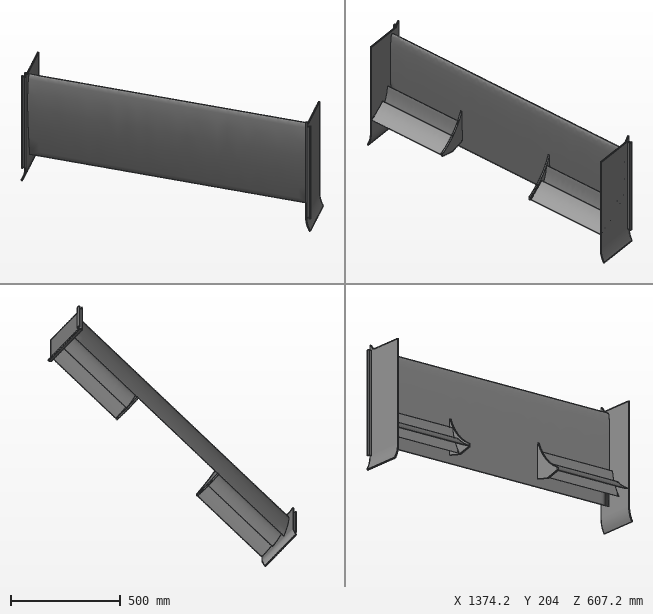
import math

import cadquery as cq


span = 1374.18
depth = 204.0
height = 607.21
back = depth / 2
front = -depth / 2
top = height / 2
bottom = -height / 2
tip_x = span / 2

plate_thickness = 6.0
plate_top = 279.0
plate_foot = -233.5
foot_sweep = math.radians(29)
foot_inner_radius = (plate_foot - bottom) / math.sin(foot_sweep)
foot_outer_radius = foot_inner_radius - plate_thickness
foot_outset = foot_outer_radius * (1 - math.cos(foot_sweep))
plate_outer_x = tip_x - foot_outset
plate_inner_x = plate_outer_x - plate_thickness
horn_top_width = 5.0
horn_base_width = 22.0
horn_root_radius = 10.0

lip_root_thickness = 11.0
lip_depth = 14.0
lip_top = 277.0
fin_thickness = 4.0
fin_end_inset = 2.0
groove_depth = 10.5
groove_hollow = 0.6

main_section = dict(leading=(-51, 264), trailing=(-43, -192), thickness=0.082, camber=0.019)
lower_flap_section = dict(leading=(-20, -25), trailing=(31, -164), thickness=0.105, camber=0.09)
rear_flap_section = dict(leading=(18.5, -89), trailing=(back, -146), thickness=0.10, camber=0.08)
camber_position = 0.4
points_per_side = 14

rib_thickness = 8.0
rib_inner_x = 250.0
rib_back_top = (back, -136)
rib_top_middle = (14, -66)
rib_front_top = (-45, 40)
rib_front_bottom = (-45, -150)
rib_low_point = (31, -168)
rib_back_bottom = (back, -150)


def half_thickness(s, thickness):
    """Half thickness of a four-digit NACA section with a closed trailing edge, at chord fraction s."""
    shape = 0.2969 * math.sqrt(s) - 0.1260 * s - 0.3516 * s**2 + 0.2843 * s**3 - 0.1036 * s**4
    return 5 * thickness * shape


def camber_height(s, camber):
    """Height of the four-digit NACA camber line at chord fraction s."""
    p = camber_position
    if s < p:
        return camber * (2 * p * s - s**2) / p**2
    return camber * (1 - 2 * p + 2 * p * s - s**2) / (1 - p) ** 2


def wing(leading, trailing, thickness, camber, x_start, x_end):
    """Straight wing of constant section between two X positions, cambered towards the front."""
    chord_y = trailing[0] - leading[0]
    chord_z = trailing[1] - leading[1]

    def section_point(s, side):
        lift = camber_height(s, camber) + side * half_thickness(s, thickness)
        return (leading[0] + s * chord_y + lift * chord_z, leading[1] + s * chord_z - lift * chord_y)

    steps = [i / points_per_side for i in range(1, points_per_side)]
    fractions = [(1 - math.cos(math.pi * t)) / 2 for t in steps]
    front_side = [section_point(s, 1) for s in reversed(fractions)]
    back_side = [section_point(s, -1) for s in fractions]
    outline = [trailing, *front_side, leading, *back_side, trailing]
    return (
        cq.Workplane("YZ", origin=(x_start, 0, 0))
        .spline(outline, includeCurrent=False)
        .close()
        .extrude(x_end - x_start)
    )


def end_plate_panel():
    """Flat plate with a pointed horn standing on its front top corner."""
    panel = (
        cq.Workplane("YZ", origin=(plate_inner_x, 0, 0))
        .moveTo(back, plate_foot)
        .lineTo(back, plate_top)
        .lineTo(front + horn_base_width, plate_top)
        .lineTo(front + horn_top_width, top)
        .lineTo(front, top)
        .lineTo(front, plate_foot)
        .close()
        .extrude(plate_thickness)
    )
    horn_root = cq.selectors.NearestToPointSelector((plate_inner_x, front + horn_base_width, plate_top))
    return panel.edges("|X").edges(horn_root).fillet(horn_root_radius)


def end_plate_foot():
    """Foot that leaves the plate straight down and curves outwards along one arc."""
    centre_x = plate_outer_x + foot_outer_radius

    def arc_point(radius, angle):
        return (centre_x - radius * math.cos(angle), plate_foot - radius * math.sin(angle))

    middle = foot_sweep / 2
    return (
        cq.Workplane("XZ", origin=(0, back, 0))
        .moveTo(*arc_point(foot_outer_radius, 0))
        .threePointArc(arc_point(foot_outer_radius, middle), arc_point(foot_outer_radius, foot_sweep))
        .lineTo(*arc_point(foot_inner_radius, foot_sweep))
        .threePointArc(arc_point(foot_inner_radius, middle), arc_point(foot_inner_radius, 0))
        .close()
        .extrude(depth)
    )


def end_plate_lip():
    """Lip along the front edge of the plate: bulged outer fin, groove and slanted groove flank."""
    fin_end_x = tip_x - fin_end_inset
    fin_inner_x = fin_end_x - fin_thickness
    groove_bottom = front + groove_depth
    flank_x = fin_inner_x - plate_outer_x
    flank_length = math.hypot(flank_x, groove_depth)
    flank_middle = (
        plate_outer_x + flank_x / 2 - groove_hollow * groove_depth / flank_length,
        front + groove_depth / 2 + groove_hollow * flank_x / flank_length,
    )
    return (
        cq.Workplane("XY", origin=(0, 0, plate_foot))
        .moveTo(plate_outer_x, front)
        .threePointArc(flank_middle, (fin_inner_x, groove_bottom))
        .lineTo(fin_inner_x, front)
        .lineTo(fin_end_x, front)
        .threePointArc((tip_x, front + lip_depth / 2), (fin_end_x, front + lip_depth))
        .lineTo(plate_outer_x, front + lip_root_thickness)
        .close()
        .extrude(lip_top - plate_foot)
    )


def rib():
    """Inner rib around the free ends of both flaps, reaching forward into the main element."""
    return (
        cq.Workplane("YZ", origin=(rib_inner_x, 0, 0))
        .moveTo(*rib_back_top)
        .threePointArc(rib_top_middle, rib_front_top)
        .lineTo(*rib_front_bottom)
        .lineTo(*rib_low_point)
        .lineTo(*rib_back_bottom)
        .close()
        .extrude(rib_thickness)
    )


def right_side():
    """End plate, flaps and rib of the +X side."""
    side = end_plate_panel().union(end_plate_foot(), clean=False)
    side = side.union(end_plate_lip(), clean=False)
    for section in (lower_flap_section, rear_flap_section):
        flap = wing(**section, x_start=rib_inner_x, x_end=plate_outer_x)
        side = side.union(flap, clean=False)
    return side.union(rib(), clean=False)


main_element = wing(**main_section, x_start=-plate_outer_x, x_end=plate_outer_x)
one_side = right_side()
result = main_element.union(one_side, clean=False).union(one_side.mirror("YZ"), clean=False)